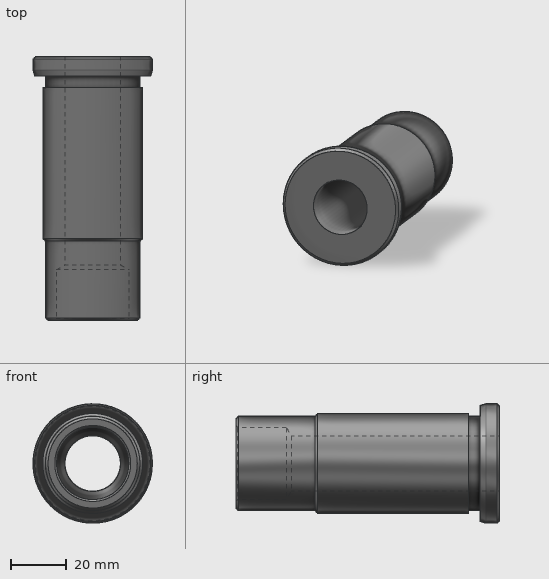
import cadquery as cq
import math

total_length = 95.0
flange_length = 7.0
flange_bevel_start = 4.9
neck_end = 11.2
shoulder_end = 66.5

flange_diameter = 43.0
flange_radius = flange_diameter / 2
flange_bevel_radius = 20.9
body_diameter = 36.0
body_radius = body_diameter / 2
nose_radius = 17.0

through_radius = 10.0
counterbore_depth = 18.2
cone_half_angle = 60
counterbore_radius = 13.0
mouth_radius = 13.7

chamfer = 0.95
shoulder_chamfer = body_radius - nose_radius
cone_length = (counterbore_radius - through_radius) / math.tan(math.radians(cone_half_angle))
cone_start = total_length - counterbore_depth
mouth_depth = mouth_radius - counterbore_radius

profile = [
    (through_radius, 0),
    (flange_radius - chamfer, 0),
    (flange_radius, chamfer),
    (flange_radius, flange_bevel_start),
    (flange_bevel_radius, flange_length),
    (nose_radius, flange_length),
    (nose_radius, neck_end),
    (body_radius, neck_end),
    (body_radius, shoulder_end - shoulder_chamfer),
    (nose_radius, shoulder_end),
    (nose_radius, total_length - chamfer),
    (nose_radius - chamfer, total_length),
    (mouth_radius, total_length),
    (counterbore_radius, total_length - mouth_depth),
    (counterbore_radius, cone_start),
    (through_radius, cone_start - cone_length),
]

sleeve = cq.Workplane("XZ").polyline(profile).close().revolve(360, (0, 0), (0, 1))
result = sleeve.rotate((0, 0, 0), (1, 0, 0), 90).translate((0, total_length / 2, 0))